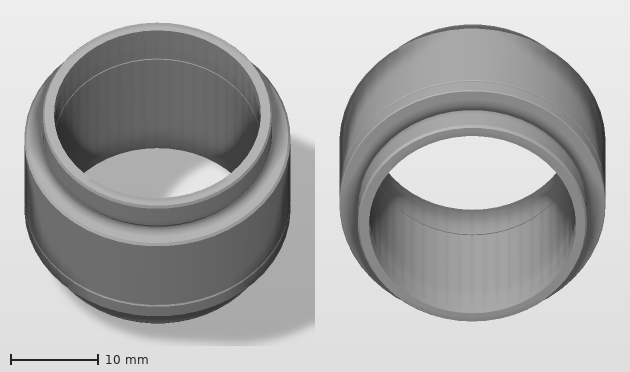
import cadquery as cq

total_height = 23.0
outer_radius = 30.5 / 2
bore_radius = 23.7 / 2

collar_radius = 26.3 / 2
neck_radius = 25.3 / 2
collar_height = 3.6
neck_height = 0.88
collar_tip_inset = 0.198
collar_tip_height = 0.35

lock_ring_height = 2.05
barrel_chamfer = 0.27
ring_chamfer = 0.1

joint_radius = 27.8 / 2
joint_depth = 5.5
seam_gap = 0.18

ring_bottom = collar_height + neck_height
ring_top = ring_bottom + lock_ring_height
barrel_top = total_height - collar_height - neck_height
seam_height = total_height - joint_depth


def revolve_profile(points):
    """Turn a closed outline of (radius, height) points around the Z axis."""
    return cq.Workplane("XZ").polyline(points).close().revolve(360, (0, 0), (0, 1))


def collar_outline():
    """Outside of a collar, from its neck to its tip: (radius, distance from the tip)."""
    return [
        (neck_radius, collar_height + neck_height),
        (neck_radius, collar_height),
        (collar_radius, collar_height),
        (collar_radius, collar_tip_height),
        (collar_radius - collar_tip_inset, 0),
    ]


def make_barrel():
    """Outer barrel with the upper collar and a socket for the inner tube."""
    upper_collar = [(radius, total_height - distance) for radius, distance in collar_outline()]
    return revolve_profile([
        (joint_radius, ring_top),
        (outer_radius - barrel_chamfer, ring_top),
        (outer_radius, ring_top + barrel_chamfer),
        (outer_radius, barrel_top - barrel_chamfer),
        (outer_radius - barrel_chamfer, barrel_top),
        *upper_collar,
        (bore_radius, total_height),
        (bore_radius, seam_height),
        (joint_radius, seam_height),
    ])


def make_inner_tube():
    """Inner tube that carries the lower collar and slides into the barrel."""
    return revolve_profile([
        *collar_outline(),
        (bore_radius, 0),
        (bore_radius, seam_height - seam_gap),
        (joint_radius, seam_height - seam_gap),
        (joint_radius, ring_bottom),
    ])


def make_lock_ring():
    """Lock ring on the inner tube, against the underside of the barrel."""
    return revolve_profile([
        (joint_radius, ring_bottom),
        (outer_radius - ring_chamfer, ring_bottom),
        (outer_radius, ring_bottom + ring_chamfer),
        (outer_radius, ring_top - ring_chamfer),
        (outer_radius - ring_chamfer, ring_top),
        (joint_radius, ring_top),
    ])


barrel = make_barrel()
inner_tube = make_inner_tube()
lock_ring = make_lock_ring()

result = cq.Compound.makeCompound([barrel.val(), inner_tube.val(), lock_ring.val()])